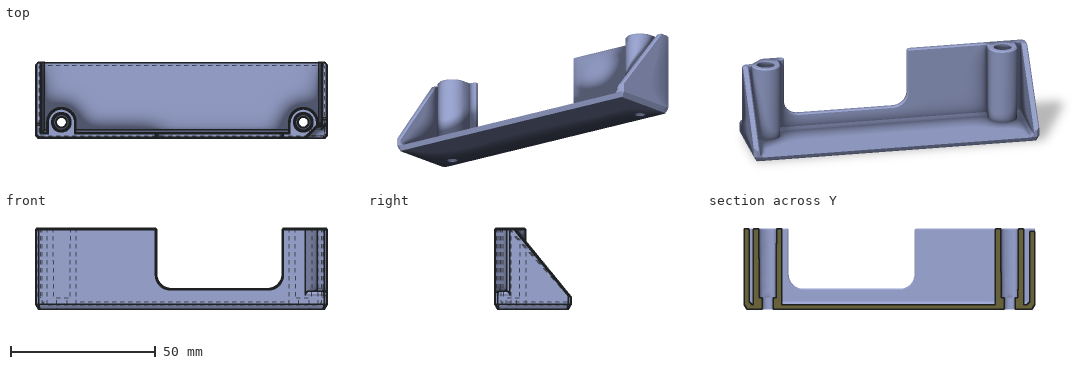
import cadquery as cq
import math

LENGTH = 100.6
DEPTH = 26.3
HEIGHT = 27.9

END_WALL = 2.0
FRONT_WALL = 2.0
FLOOR = 1.6
FLOOR_BEVEL = 1.0

CORNER_CHAMFER = 1.0
BASE_CHAMFER_HEIGHT = 1.8
EDGE_CHAMFER = 0.4

BACK_HEIGHT = 4.15
LEFT_SLOPE_TOP_Y = 4.9
RIGHT_SLOPE_TOP_Y = 6.9

BOSS_RADIUS = 5.0
BOSS_END_OFFSET = 8.85
BOSS_SPACING = 83.5
BOSS_Y = 5.6
SCREW_DIAMETER = 3.6
BORE_DIAMETER = 5.6
BORE_TOP_DIAMETER = 6.0
BORE_MOUTH_DIAMETER = 6.6
BORE_FLOOR = 4.0

WINDOW_LEFT = 41.7
WINDOW_RIGHT = 85.1
WINDOW_BOTTOM = 7.1
WINDOW_RADIUS = 5.0

NOTCH_WIDTH = 7.5
NOTCH_DEPTH = 4.1
NOTCH_FLOOR = 6.2
NOTCH_FILLET = 1.0
NOTCH_ROUND = 1.1
NOTCH_WALL = 1.4

BOSS_XS = (BOSS_END_OFFSET, BOSS_END_OFFSET + BOSS_SPACING)

SMALL = 0.001


def box(x0, y0, z0, x1, y1, z1):
    """Axis-aligned box between two opposite corners."""
    return cq.Workplane("XY").box(x1 - x0, y1 - y0, z1 - z0, centered=False).translate((x0, y0, z0))


def nearest_to(x, y, z):
    """Selector for the edge whose middle lies nearest to a point."""
    return cq.selectors.NearestToPointSelector((x, y, z))


def chamfered_plan(inset, corner):
    """Corner points of the plan rectangle, pulled in on all sides and with clipped corners."""
    left, right = inset, LENGTH - inset
    front, back = inset, DEPTH - inset
    return [
        (left + corner, front),
        (right - corner, front),
        (right, front + corner),
        (right, back - corner),
        (right - corner, back),
        (left + corner, back),
        (left, back - corner),
        (left, front + corner),
    ]


def outer_block():
    """Full envelope with clipped upright corners, tapering in at the base."""
    base_corner = CORNER_CHAMFER * (math.sqrt(2) - 1)
    base = (
        cq.Workplane("XY")
        .polyline(chamfered_plan(CORNER_CHAMFER, base_corner))
        .close()
        .workplane(offset=BASE_CHAMFER_HEIGHT)
        .polyline(chamfered_plan(0, CORNER_CHAMFER))
        .close()
        .loft(ruled=True)
    )
    upper = (
        cq.Workplane("XY")
        .workplane(offset=BASE_CHAMFER_HEIGHT)
        .polyline(chamfered_plan(0, CORNER_CHAMFER))
        .close()
        .extrude(HEIGHT - BASE_CHAMFER_HEIGHT)
    )
    return base.union(upper)


def notch_plan(growth, bottom):
    """Prism over the notch plan: a diagonal side, then a back parallel to the front wall.

    growth moves the diagonal and the back further into the part.
    """
    back = NOTCH_DEPTH + growth
    back_left = LENGTH - NOTCH_WIDTH + NOTCH_DEPTH - growth * math.tan(math.pi / 8)
    return (
        cq.Workplane("XY")
        .workplane(offset=bottom)
        .moveTo(back_left - back, 0)
        .lineTo(back_left, back)
        .lineTo(LENGTH - CORNER_CHAMFER, back)
        .lineTo(LENGTH, back + CORNER_CHAMFER)
        .lineTo(LENGTH, 0)
        .close()
        .extrude(HEIGHT - bottom)
    )


def cavity():
    """Space inside the tray, open at the back, with bevels where floor meets walls."""
    space = box(END_WALL, FRONT_WALL, FLOOR, LENGTH - END_WALL, DEPTH, HEIGHT)
    return space.faces("<Z").edges("not >Y").chamfer(FLOOR_BEVEL)


def slope_cut(x0, x1, top_y):
    """Wedge above the sloped top of an end wall."""
    return (
        cq.Workplane("YZ")
        .workplane(offset=x0)
        .moveTo(top_y, HEIGHT)
        .lineTo(DEPTH, BACK_HEIGHT)
        .lineTo(DEPTH, HEIGHT)
        .close()
        .extrude(x1 - x0)
    )


def boss(x):
    """Round-backed column that runs into the front wall."""
    height = HEIGHT - FLOOR
    column = cq.Workplane("XY").circle(BOSS_RADIUS).extrude(height).translate((x, BOSS_Y, FLOOR))
    web = box(x - BOSS_RADIUS, FRONT_WALL, FLOOR, x + BOSS_RADIUS, BOSS_Y, HEIGHT)
    behind_wall = box(0, FRONT_WALL, 0, LENGTH, DEPTH, HEIGHT)
    return column.intersect(behind_wall).union(web)


def cone(bottom_diameter, top_diameter, bottom, top):
    """Upright cone frustum between two heights."""
    return (
        cq.Workplane("XY")
        .workplane(offset=bottom)
        .circle(bottom_diameter / 2)
        .workplane(offset=top - bottom)
        .circle(top_diameter / 2)
        .loft()
    )


def screw_hole(x):
    """Through hole with a wider, tapering bore from the top and a flared mouth."""
    flare_bottom = HEIGHT - (BORE_MOUTH_DIAMETER - BORE_TOP_DIAMETER) / 2
    hole = cq.Workplane("XY").circle(SCREW_DIAMETER / 2).extrude(HEIGHT)
    bore = cone(BORE_DIAMETER, BORE_TOP_DIAMETER, BORE_FLOOR, flare_bottom)
    mouth = cone(BORE_TOP_DIAMETER, BORE_MOUTH_DIAMETER, flare_bottom, HEIGHT)
    return hole.union(bore).union(mouth).translate((x, BOSS_Y, 0))


def window():
    """Round-cornered opening through the front wall, open at the top."""
    opening = box(WINDOW_LEFT, 0, WINDOW_BOTTOM, WINDOW_RIGHT, FRONT_WALL, HEIGHT)
    return opening.faces("<Z").edges("|Y").fillet(WINDOW_RADIUS)


def notch_base():
    """Block below the notch, with its top rim rounded over."""
    base = cq.Workplane("XY").polyline(chamfered_plan(0, CORNER_CHAMFER)).close().extrude(NOTCH_FLOOR)
    return base.faces(">Z").edges().fillet(NOTCH_ROUND)


def notch():
    """Corner notch with a rounded rim on its floor and a fillet at the foot of its back."""
    foot = nearest_to(LENGTH - NOTCH_WIDTH / 2, NOTCH_DEPTH, NOTCH_FLOOR)
    upper = notch_plan(0, NOTCH_FLOOR)
    upper = upper.faces("<Z").edges(foot).fillet(NOTCH_FILLET)
    rim = notch_plan(0, NOTCH_FLOOR - NOTCH_ROUND).cut(notch_plan(0, NOTCH_FLOOR)).cut(notch_base())
    return upper.union(rim)


def slope_edge(solid, side_x, top_y):
    """Sloped top edge of an end wall on the wall side at side_x."""
    return solid.edges(nearest_to(side_x, (top_y + DEPTH) / 2, (BACK_HEIGHT + HEIGHT) / 2))


def window_rim(solid, face_y):
    """Edges of the window on the wall face at face_y."""
    lower = (WINDOW_LEFT - SMALL, face_y - SMALL, WINDOW_BOTTOM - SMALL)
    upper = (WINDOW_RIGHT + SMALL, face_y + SMALL, HEIGHT - SMALL)
    return solid.edges(cq.selectors.BoxSelector(lower, upper))


def chamfer_rims(solid):
    """Chamfer the top edges, the sloped edges of the end walls and the window rims."""
    rims = solid.faces(">Z").edges()
    for face_y in (0, FRONT_WALL):
        rims = rims.add(window_rim(solid, face_y))
    for side_x in (0, END_WALL):
        rims = rims.add(slope_edge(solid, side_x, LEFT_SLOPE_TOP_Y))
        rims = rims.add(slope_edge(solid, LENGTH - side_x, RIGHT_SLOPE_TOP_Y))
    return rims.chamfer(EDGE_CHAMFER)


part = outer_block().cut(cavity().cut(notch_plan(NOTCH_WALL, 0)))
part = part.cut(slope_cut(0, END_WALL, LEFT_SLOPE_TOP_Y))
part = part.cut(slope_cut(LENGTH - END_WALL, LENGTH, RIGHT_SLOPE_TOP_Y))

for boss_x in BOSS_XS:
    part = part.union(boss(boss_x))
part = part.cut(window()).cut(notch())
part = chamfer_rims(part)
for boss_x in BOSS_XS:
    part = part.cut(screw_hole(boss_x))

result = part